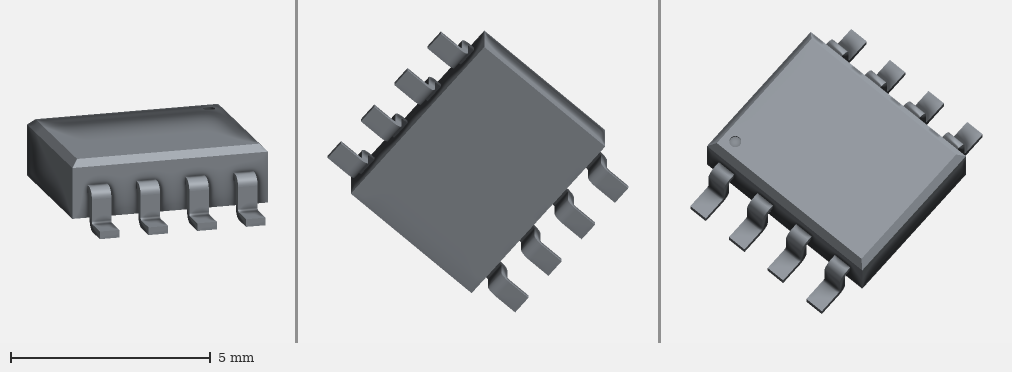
import cadquery as cq

span = 6.2
body_length = 5.1
total_height = 1.75

body_width = 4.0
standoff = 0.25
top_chamfer = 0.175

dimple_diameter = 0.3
dimple_inset = 0.5
dimple_depth = 0.05

leads_per_side = 4
lead_pitch = 1.27
lead_width = 0.51
lead_thickness = 0.2
lead_top = 1.105
shank_setback = 0.7
bend_inner_radius = 0.07
bend_outer_radius = bend_inner_radius + lead_thickness
lead_embed = 0.06


def make_body():
    """Block raised off the foot plane, chamfered on top, with a pin 1 dimple."""
    block = (
        cq.Workplane("XY", origin=(0, 0, standoff))
        .rect(body_width, body_length)
        .extrude(total_height - standoff)
        .faces(">Z")
        .edges()
        .chamfer(top_chamfer)
    )
    dimple_x = -body_width / 2 + dimple_inset
    dimple_y = body_length / 2 - dimple_inset
    dimple = (
        cq.Workplane("XY", origin=(dimple_x, dimple_y, total_height - dimple_depth))
        .circle(dimple_diameter / 2)
        .extrude(dimple_depth)
    )
    return block.cut(dimple)


def make_left_lead(y_center):
    """S-shaped lead on the -X side, swept straight across its width."""
    toe_x = -span / 2
    shank_outer_x = toe_x + shank_setback
    shank_inner_x = shank_outer_x + lead_thickness
    root_x = -body_width / 2 + lead_embed
    arm_underside = lead_top - lead_thickness
    lower_bend_x = shank_outer_x - bend_inner_radius
    upper_bend_x = shank_outer_x + bend_outer_radius
    lower_bend_z = bend_outer_radius
    upper_bend_z = lead_top - bend_outer_radius

    profile = (
        cq.Workplane("XZ", origin=(0, y_center, 0))
        .moveTo(toe_x, 0)
        .lineTo(lower_bend_x, 0)
        .radiusArc((shank_inner_x, lower_bend_z), -bend_outer_radius)
        .lineTo(shank_inner_x, upper_bend_z)
        .radiusArc((upper_bend_x, arm_underside), bend_inner_radius)
        .lineTo(root_x, arm_underside)
        .lineTo(root_x, lead_top)
        .lineTo(upper_bend_x, lead_top)
        .radiusArc((shank_outer_x, upper_bend_z), -bend_outer_radius)
        .lineTo(shank_outer_x, lower_bend_z)
        .radiusArc((lower_bend_x, lead_thickness), bend_inner_radius)
        .lineTo(toe_x, lead_thickness)
        .close()
    )
    return profile.extrude(lead_width / 2, both=True)


result = make_body()
for index in range(leads_per_side):
    lead_y = (index - (leads_per_side - 1) / 2) * lead_pitch
    left_lead = make_left_lead(lead_y)
    right_lead = left_lead.mirror("YZ")
    result = result.union(left_lead).union(right_lead)